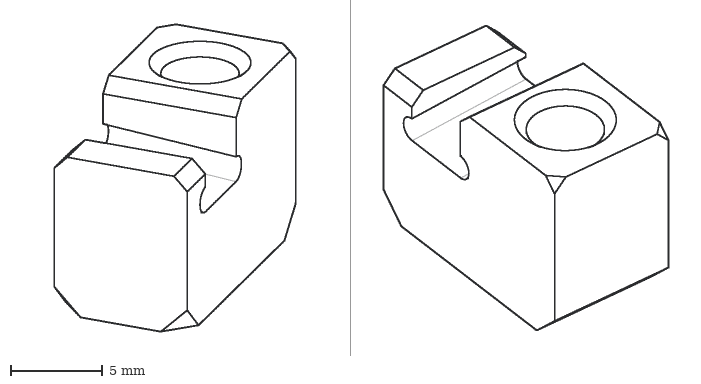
import cadquery as cq
import math

width = 7.94
length = 15.24
height = 11.11
small_chamfer = 0.8
large_chamfer = 2 * small_chamfer

lip_height = 9.54
lip_thickness = 2.53
slot_width = 4.33
floor_height = 7.01
slot_tilt = 4.0
relief_radius = 0.75

hole_diameter = 4.3
countersink_diameter = 5.6
countersink_angle = 90.0
hole_from_back = 4.11

front = -length / 2
back = length / 2
side = width / 2
slot_front = front + lip_thickness
slot_back = slot_front + slot_width


def make_body():
    """Side profile with the rear chamfer, low front lip and chamfered step."""
    return (
        cq.Workplane("YZ")
        .moveTo(front, 0)
        .lineTo(back - large_chamfer, 0)
        .lineTo(back, large_chamfer)
        .lineTo(back, height)
        .lineTo(slot_back + small_chamfer, height)
        .lineTo(slot_back, height - small_chamfer)
        .lineTo(slot_back, lip_height)
        .lineTo(front, lip_height)
        .close()
        .extrude(side, both=True)
    )


def make_slot():
    """Sloping slot with a round relief under each wall."""
    fall = width * math.tan(math.radians(slot_tilt))
    sweep = cq.Vector(width, 0, -fall)
    relief_center = floor_height + relief_radius
    slot_top = height + fall

    def sheared(wire):
        return cq.Workplane(cq.Solid.extrudeLinear(wire, [], sweep))

    start = cq.Workplane("YZ", origin=(-side, 0, 0))
    channel = (
        start.moveTo(slot_front, floor_height)
        .lineTo(slot_back, floor_height)
        .lineTo(slot_back, slot_top)
        .lineTo(slot_front, slot_top)
        .close()
    )
    slot = sheared(channel.val())
    for wall in (slot_front, slot_back):
        relief = start.center(wall, relief_center).circle(relief_radius)
        slot = slot.union(sheared(relief.val()))
    return slot


def make_corner(x_sign, y_sign, z_sign, y, z, size):
    """Tetrahedron that cuts one block corner equally along all three edges."""
    x = x_sign * side
    corner = cq.Vector(x, y, z)
    tips = [
        cq.Vector(x - x_sign * size, y, z),
        cq.Vector(x, y - y_sign * size, z),
        cq.Vector(x, y, z - z_sign * size),
    ]
    triangles = [
        tips,
        [corner, tips[0], tips[1]],
        [corner, tips[1], tips[2]],
        [corner, tips[2], tips[0]],
    ]
    faces = [cq.Face.makeFromWires(cq.Wire.makePolygon(points, close=True)) for points in triangles]
    return cq.Workplane(cq.Solid.makeSolid(cq.Shell.makeShell(faces)))


def make_lip_chamfer(x_sign):
    """Triangular prism along one top side edge of the lip."""
    return (
        cq.Workplane("XZ", origin=(0, slot_front, 0))
        .moveTo(x_sign * side, lip_height)
        .lineTo(x_sign * (side - small_chamfer), lip_height)
        .lineTo(x_sign * side, lip_height - small_chamfer)
        .close()
        .extrude(lip_thickness)
    )


result = make_body().cut(make_slot())

for x_sign in (-1, 1):
    result = result.cut(make_lip_chamfer(x_sign))
    result = result.cut(make_corner(x_sign, -1, -1, front, 0, large_chamfer))
    result = result.cut(make_corner(x_sign, 1, 1, back, height, small_chamfer))

result = (
    result.faces(">Z")
    .workplane(origin=(0, back - hole_from_back, height))
    .cskHole(hole_diameter, countersink_diameter, countersink_angle)
)